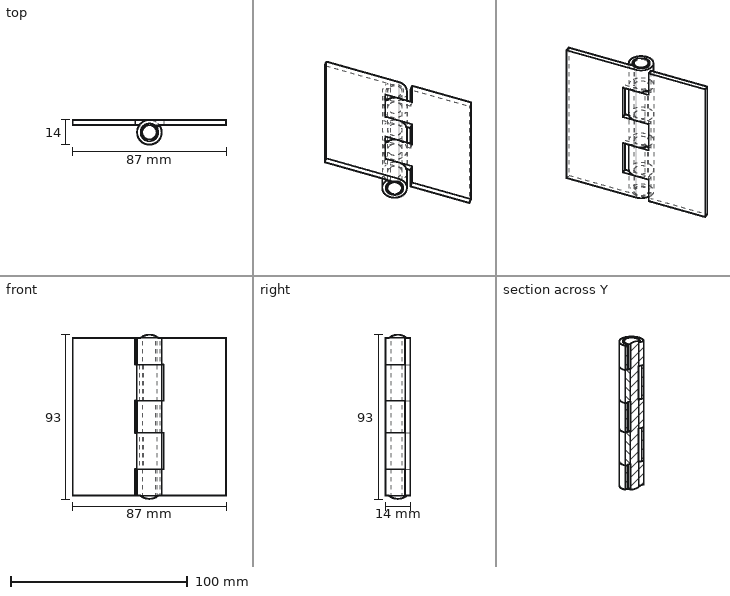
import cadquery as cq
import math

overall_width = 87.0
overall_height = 93.0
knuckle_radius = 14.0 / 2
leaf_thickness = 3.0
knuckle_clearance = 1.0
curl_end_angle = 34.0

leaf_height = 89.3
narrow_knuckle_height = 20.5
middle_knuckle_height = 18.2
end_knuckle_height = (leaf_height - middle_knuckle_height) / 2 - narrow_knuckle_height

pin_head_radius = 5.0
pin_head_height = (overall_height - leaf_height) / 2

bore_radius = knuckle_radius - leaf_thickness
notch_edge = knuckle_radius + knuckle_clearance
leaf_edge = overall_width / 2
leaf_inner_y = knuckle_radius - leaf_thickness

leaf_top = leaf_height / 2
middle_top = middle_knuckle_height / 2
narrow_top = middle_top + narrow_knuckle_height
left_knuckle_spans = [(-narrow_top, -middle_top), (middle_top, narrow_top)]
right_knuckle_spans = [
    (-leaf_top, -leaf_top + end_knuckle_height),
    (-middle_top, middle_top),
    (leaf_top - end_knuckle_height, leaf_top),
]


def polar_point(radius, angle):
    return radius * math.cos(math.radians(angle)), radius * math.sin(math.radians(angle))


def rolled_knuckle(bottom, top):
    """Strip running from the +X plate over the back of the pin and rolled around it."""
    return (
        cq.Workplane("XY", origin=(0, 0, bottom))
        .moveTo(notch_edge, knuckle_radius)
        .lineTo(0, knuckle_radius)
        .threePointArc((-knuckle_radius, 0), (0, -knuckle_radius))
        .threePointArc(
            polar_point(knuckle_radius, (curl_end_angle - 90) / 2),
            polar_point(knuckle_radius, curl_end_angle),
        )
        .lineTo(*polar_point(bore_radius, curl_end_angle))
        .threePointArc(
            polar_point(bore_radius, (curl_end_angle - 90) / 2),
            (0, -bore_radius),
        )
        .threePointArc((-bore_radius, 0), (0, bore_radius))
        .lineTo(notch_edge, leaf_inner_y)
        .close()
        .extrude(top - bottom)
    )


def hinge_leaf(knuckle_spans):
    """Flat plate on the +X side with one rolled knuckle per span."""
    leaf = cq.Workplane("XY").box(
        leaf_edge - notch_edge, leaf_thickness, leaf_height, centered=(False, False, True)
    ).translate((notch_edge, leaf_inner_y, 0))
    for bottom, top in knuckle_spans:
        leaf = leaf.union(rolled_knuckle(bottom, top))
    return leaf


def hinge_pin():
    """Shank filling the bore, with a domed head resting on each end of the knuckles."""
    dome_radius = (pin_head_radius**2 + pin_head_height**2) / (2 * pin_head_height)
    pin_top = overall_height / 2
    dome_center = pin_top - dome_radius
    half_rim_angle = math.asin(pin_head_radius / dome_radius) / 2
    dome_mid_x = dome_radius * math.sin(half_rim_angle)
    dome_mid_z = dome_center + dome_radius * math.cos(half_rim_angle)
    return (
        cq.Workplane("XZ")
        .moveTo(0, -pin_top)
        .threePointArc((dome_mid_x, -dome_mid_z), (pin_head_radius, -leaf_top))
        .lineTo(bore_radius, -leaf_top)
        .lineTo(bore_radius, leaf_top)
        .lineTo(pin_head_radius, leaf_top)
        .threePointArc((dome_mid_x, dome_mid_z), (0, pin_top))
        .close()
        .revolve(360, (0, 0, 0), (0, 1, 0))
    )


right_leaf = hinge_leaf(right_knuckle_spans)
left_leaf = hinge_leaf(left_knuckle_spans).mirror("YZ")
pin = hinge_pin()

result = cq.Compound.makeCompound([right_leaf.val(), left_leaf.val(), pin.val()])